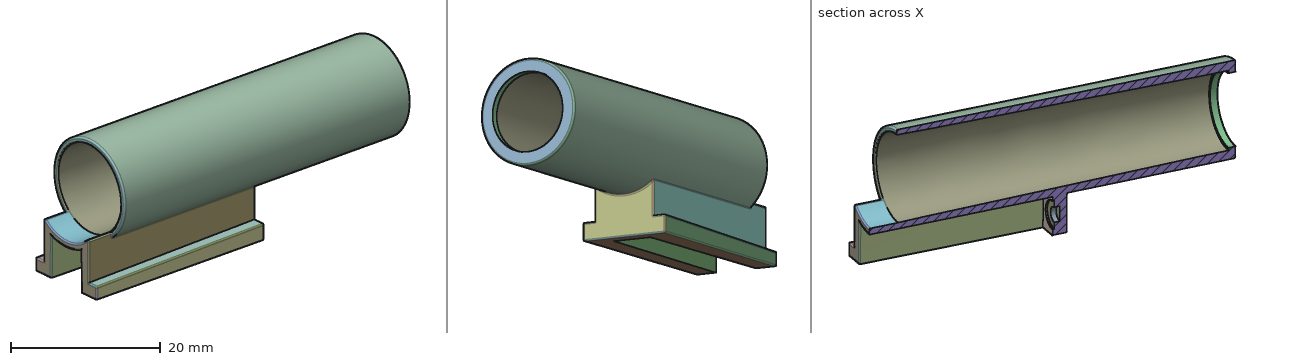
import cadquery as cq
LENGTH = 54.5
HEIGHT = 20.3
TUBE_RADIUS = 14.5 / 2
TUBE_FRONT = 4.05
AXIS_HEIGHT = HEIGHT - TUBE_RADIUS
TUBE_EDGE_RADIUS = 0.25
RAIL_EDGE_RADIUS = 0.2
SEAM_RADIUS = 0.2

BORE_FRONT_RADIUS = 6.45
BORE_BACK_RADIUS = 5.85
RIM_RADIUS = 0.2
END_HOLE_RADIUS = 5.45
END_WALL = 1.1

RAIL_LENGTH = 29.45
RAIL_HALF_WIDTH = 4.6
SADDLE_RADIUS = BORE_FRONT_RADIUS
FLANGE_FRONT_HALF_WIDTH = 6.2
FLANGE_BACK_HALF_WIDTH = 6.4
FLANGE_FRONT_THICKNESS = 2.0
FLANGE_BACK_THICKNESS = 2.5

SLOT_END_WALL = 2.2
SLOT_DEPTH = RAIL_LENGTH - SLOT_END_WALL
SLOT_FRONT_FOOT = 3.1
SLOT_FRONT_TOP = 2.9
SLOT_BACK_FOOT = 2.85
SLOT_BACK_TOP = 2.65
SLOT_ROOF_RADIUS = 7.4

HOLE_HEIGHT = 3.0
RECESS_RADIUS = 2.05
RECESS_DEPTH = 0.25
HOLE_RADIUS = 1.1
HOLE_DEPTH = 1.1

MARGIN = 0.05


def cylinder_along_y(radius, start, end, height=AXIS_HEIGHT):
    """Cylinder along +Y with its axis at X = 0 and the given height."""
    return cq.Workplane("XZ", origin=(0, start, height)).circle(radius).extrude(start - end)


def loft_along_y(front_profile, back_profile, back):
    """Solid from Y = 0 to `back` between two X-Z outlines, each given by its +X half."""

    def whole(half):
        return half + [(-x, z) for x, z in reversed(half)]

    return (
        cq.Workplane("XZ")
        .polyline(whole(front_profile))
        .close()
        .workplane(offset=-back)
        .polyline(whole(back_profile))
        .close()
        .loft(ruled=True)
    )


def edges_in_boxes(*boxes):
    """Selector for edges whose centers lie in any of the boxes, each given by two opposite corners."""
    found = cq.selectors.BoxSelector(*boxes[0])
    for box in boxes[1:]:
        found = found + cq.selectors.BoxSelector(*box)
    return found


def make_tube():
    tube = cylinder_along_y(TUBE_RADIUS, TUBE_FRONT, LENGTH)
    tube = tube.faces("<Y or >Y").edges().fillet(TUBE_EDGE_RADIUS)
    bore_end = LENGTH - END_WALL
    bore = (
        cq.Workplane("XZ", origin=(0, TUBE_FRONT, AXIS_HEIGHT))
        .circle(BORE_FRONT_RADIUS)
        .workplane(offset=TUBE_FRONT - bore_end)
        .circle(BORE_BACK_RADIUS)
        .loft()
    )
    tube = tube.cut(bore).cut(cylinder_along_y(END_HOLE_RADIUS, TUBE_FRONT, LENGTH))
    return tube.faces("<Y").edges(cq.selectors.RadiusNthSelector(0)).fillet(RIM_RADIUS)


def rail_profile(flange_half_width, flange_thickness):
    return [
        (flange_half_width, 0),
        (flange_half_width, flange_thickness),
        (RAIL_HALF_WIDTH, flange_thickness),
        (RAIL_HALF_WIDTH, AXIS_HEIGHT),
    ]


def make_slot():
    """Drafted space between the rail walls, under a roof concentric with the tube."""
    slot = loft_along_y(
        [(SLOT_FRONT_FOOT, 0), (SLOT_FRONT_TOP, AXIS_HEIGHT)],
        [(SLOT_BACK_FOOT, 0), (SLOT_BACK_TOP, AXIS_HEIGHT)],
        SLOT_DEPTH,
    )
    return slot.cut(cylinder_along_y(SLOT_ROOF_RADIUS, -MARGIN, LENGTH))


def make_rail():
    """Slotted, flanged block with a round saddle on top and its outer edges rounded."""
    rail = loft_along_y(
        rail_profile(FLANGE_FRONT_HALF_WIDTH, FLANGE_FRONT_THICKNESS),
        rail_profile(FLANGE_BACK_HALF_WIDTH, FLANGE_BACK_THICKNESS),
        RAIL_LENGTH,
    )
    rail = rail.cut(cylinder_along_y(SADDLE_RADIUS, -MARGIN, RAIL_LENGTH + MARGIN))
    rail = rail.cut(make_slot())
    flange_roots = (
        (-RAIL_HALF_WIDTH - MARGIN, MARGIN, FLANGE_FRONT_THICKNESS),
        (RAIL_HALF_WIDTH + MARGIN, RAIL_LENGTH - MARGIN, FLANGE_BACK_THICKNESS),
    )
    slot_inside = (
        (-SLOT_FRONT_FOOT, MARGIN, -MARGIN),
        (SLOT_FRONT_FOOT, SLOT_DEPTH + MARGIN, AXIS_HEIGHT),
    )
    sharp_edges = edges_in_boxes(flange_roots, slot_inside)
    return rail.edges(-sharp_edges).fillet(RAIL_EDGE_RADIUS)


def round_seams(body):
    """Fill the corners where the upright rail sides run into the tube."""
    seam_height = AXIS_HEIGHT - (TUBE_RADIUS**2 - RAIL_HALF_WIDTH**2) ** 0.5
    boxes = [
        (
            (x - MARGIN, TUBE_FRONT, seam_height - MARGIN),
            (x + MARGIN, RAIL_LENGTH, seam_height + MARGIN),
        )
        for x in (-RAIL_HALF_WIDTH, RAIL_HALF_WIDTH)
    ]
    return body.edges(edges_in_boxes(*boxes)).fillet(SEAM_RADIUS)


def cut_stepped_hole(body):
    recess = cylinder_along_y(RECESS_RADIUS, SLOT_DEPTH, SLOT_DEPTH + RECESS_DEPTH, HOLE_HEIGHT)
    hole = cylinder_along_y(HOLE_RADIUS, SLOT_DEPTH, SLOT_DEPTH + HOLE_DEPTH, HOLE_HEIGHT)
    return body.cut(recess).cut(hole)


body = make_tube().union(make_rail())
body = round_seams(body)
result = cut_stepped_hole(body)